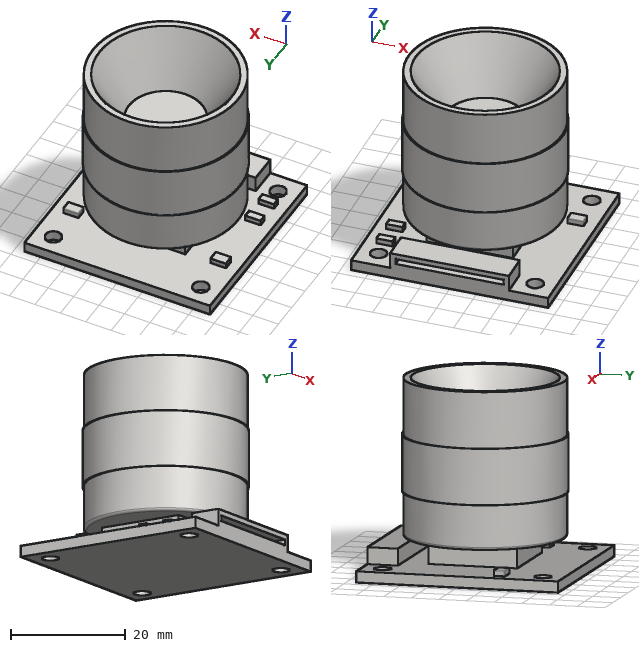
import cadquery as cq

board_size = 36.5
board_thickness = 2.0
hole_diameter = 3.0
hole_spacing = 29.0

pedestal_size = 16.0
pedestal_height = 4.0

barrel_diameter = 28.6
ring_diameter = 29.0
lower_height = 8.0
ring_height = 10.0
upper_height = 10.0
barrel_fillet = 0.5

recess_diameter = 26.0
recess_depth = 10.0
recess_taper = 30.0

connector_width = 22.0
connector_depth = 5.5
connector_height = 3.0
slot_width = 20.0
slot_height = 1.0
slot_depth = 5.0
slot_floor = 1.0

chip_width = 3.0
chip_height = 1.0
large_chip_length = 2.0
small_chip_length = 1.5
large_chip_y = 7.0
small_chip_ys = (-5.75, -10.75)
chip_x = hole_spacing / 2
chip_fillet = 0.1

board_top = board_thickness
barrel_base = board_top + pedestal_height
barrel_top = barrel_base + lower_height + ring_height + upper_height


def block(width, length, height, x, y, base):
    """Box centred on (x, y) and standing on the level base."""
    box = cq.Workplane("XY").box(width, length, height, centered=(True, True, False))
    return box.translate((x, y, base))


def make_board():
    plate = block(board_size, board_size, board_thickness, 0, 0, 0)
    return (
        plate.faces(">Z").workplane()
        .rect(hole_spacing, hole_spacing, forConstruction=True).vertices()
        .hole(hole_diameter)
    )


def make_barrel():
    lower = cq.Workplane("XY").workplane(offset=barrel_base).circle(barrel_diameter / 2).extrude(lower_height)
    lower = lower.faces("<Z").edges().fillet(barrel_fillet)
    ring = lower.faces(">Z").workplane().circle(ring_diameter / 2).extrude(ring_height)
    barrel = ring.faces(">Z").workplane().circle(barrel_diameter / 2).extrude(upper_height)
    recess = (
        cq.Workplane("XY").workplane(offset=barrel_top)
        .circle(recess_diameter / 2).extrude(-recess_depth, taper=recess_taper)
    )
    return barrel.cut(recess)


def make_connector():
    front_y = -board_size / 2
    body = block(
        connector_width, connector_depth, connector_height,
        0, front_y + connector_depth / 2, board_top,
    )
    slot = block(
        slot_width, slot_depth, slot_height,
        0, front_y + slot_depth / 2, board_top + slot_floor,
    )
    return body.cut(slot)


def make_chip(length, x, y):
    return block(chip_width, length, chip_height, x, y, board_top)


result = make_board()
result = result.union(block(pedestal_size, pedestal_size, pedestal_height, 0, 0, board_top))
result = result.union(make_barrel())
result = result.union(make_connector())
result = result.union(make_chip(large_chip_length, -chip_x, large_chip_y))

rounded_chip = make_chip(large_chip_length, chip_x, large_chip_y).edges("|Z or >Z").fillet(chip_fillet)
result = result.union(rounded_chip)

for small_chip_y in small_chip_ys:
    result = result.union(make_chip(small_chip_length, -chip_x, small_chip_y))